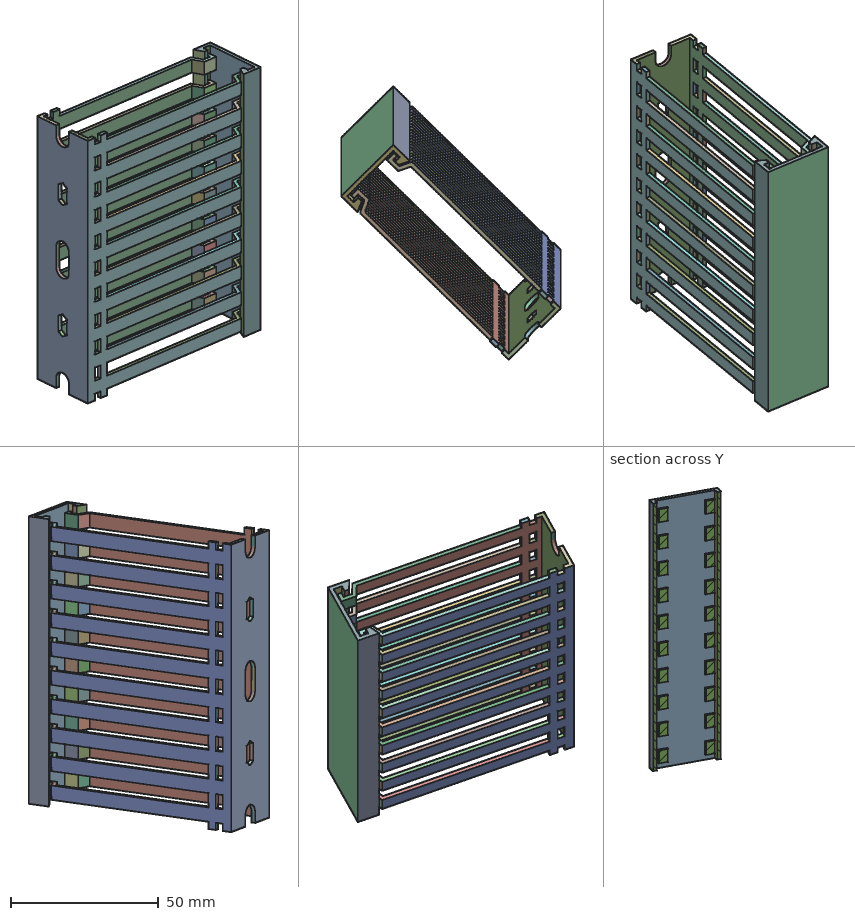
import cadquery as cq
import math

width = 25.0
depth = 80.0
length = 100.0
wall = 1.5
half_width = width / 2

face_clearance = 1.0
side_clearance = 0.7
lip_clearance = 0.4
hook_reach = 3.4
cover_side = 7.9
lip_top_depth = 4.5
knee_depth = 9.0
shoulder_angle = 26.0
hook_tip_x = half_width - wall - side_clearance
neck_inner_x = hook_tip_x - hook_reach
neck_outer_x = neck_inner_x + wall
shoulder_slope = math.tan(math.radians(shoulder_angle))

finger_pitch = 10.0
gap_height = finger_pitch / 2
gap_count = round(length / finger_pitch) + 1
rail_bottom = 6.0
rail_top = 9.0
window_bottom = 3.4

large_slot_width = 6.4
large_slot_length = 14.0
small_slot_width = 4.2
small_slot_length = 8.4
small_end_angle = 30.0
large_slot_pitch = length / 2
small_slot_offset = length / 4


def mirrored_profile(right_half):
    """Extrude a closed outline whose left half mirrors the given right half."""
    left_half = [(-x, y) for x, y in reversed(right_half)]
    return cq.Workplane("XY").polyline(right_half + left_half).close().extrude(length)


def duct_profile():
    """U-shaped channel whose side walls bend inward and end in outward hooks."""
    hook_top = depth - wall - face_clearance
    knee_y = depth - knee_depth
    shoulder_y = knee_y + (half_width - neck_outer_x) * shoulder_slope
    bend_drop = wall / math.cos(math.radians(shoulder_angle)) - wall * shoulder_slope
    return mirrored_profile([
        (half_width, 0),
        (half_width, knee_y),
        (neck_outer_x, shoulder_y),
        (neck_outer_x, hook_top - wall),
        (hook_tip_x, hook_top - wall),
        (hook_tip_x, hook_top),
        (neck_inner_x, hook_top),
        (neck_inner_x, shoulder_y - bend_drop),
        (half_width - wall, knee_y - bend_drop),
        (half_width - wall, wall),
    ])


def cut_side_gaps(body):
    """Cut the gaps between fingers and the windows below the rail through both walls."""
    for bottom, top in ((window_bottom, rail_bottom), (rail_top, depth)):
        for index in range(gap_count):
            gap = cq.Workplane("XY").box(width, top - bottom, gap_height)
            body = body.cut(gap.translate((0, (bottom + top) / 2, index * finger_pitch)))
    return body


def round_slots(heights):
    """Round-ended cutters through the base, upright along Z, centred at the given heights."""
    return (
        cq.Workplane("XZ")
        .pushPoints([(0, z) for z in heights])
        .slot2D(large_slot_length, large_slot_width, 90)
        .extrude(-wall)
    )


def pointed_slot(height):
    """Cutter through the base with gabled ends, upright along Z, centred at the given height."""
    half_slot = small_slot_width / 2
    tip = small_slot_length / 2
    shoulder = tip - half_slot * math.tan(math.radians(small_end_angle))
    return (
        cq.Workplane("XZ")
        .center(0, height)
        .polyline([
            (half_slot, -shoulder),
            (half_slot, shoulder),
            (0, tip),
            (-half_slot, shoulder),
            (-half_slot, -shoulder),
            (0, -tip),
        ])
        .close()
        .extrude(-wall)
    )


def make_duct():
    body = cut_side_gaps(duct_profile())
    body = body.cut(round_slots([0, large_slot_pitch, length]))
    for height in (small_slot_offset, length - small_slot_offset):
        body = body.cut(pointed_slot(height))
    return body


def make_cover():
    """Shallow channel with inward lips that snap under the finger hooks."""
    side_bottom = depth - cover_side
    lip_tip_x = neck_outer_x + lip_clearance
    lip_top = depth - lip_top_depth
    lip_bottom = side_bottom + (half_width - lip_tip_x) * shoulder_slope
    return mirrored_profile([
        (half_width, depth),
        (half_width, side_bottom),
        (lip_tip_x, lip_bottom),
        (lip_tip_x, lip_top),
        (half_width - wall, lip_top),
        (half_width - wall, depth - wall),
    ])


duct = make_duct()
cover = make_cover()

result = cq.Compound.makeCompound([duct.val(), cover.val()])